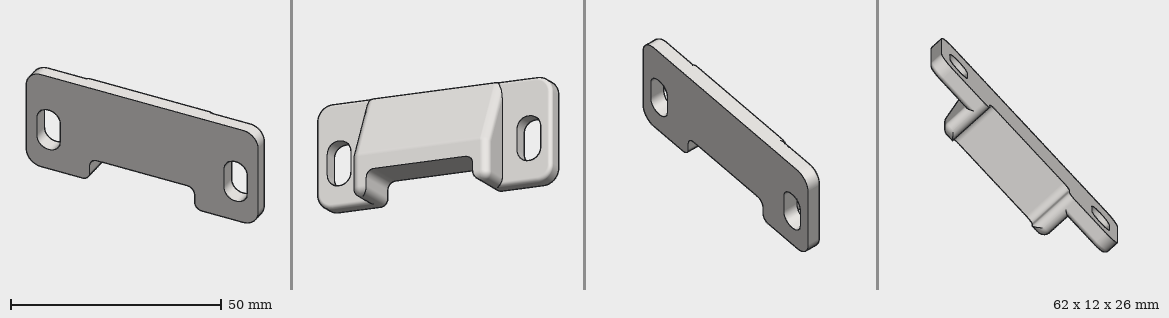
import cadquery as cq

plate_length = 62.0
plate_height = 26.0
plate_thickness = 4.0
plate_corner_radius = 4.0
plate_edge_radius = 1.0

block_length = 36.0
block_depth = 12.0
slope_height = 16.0
block_edge_radius = 2.0
top_edge_radius = plate_edge_radius

slot_spacing = 50.0
slot_width = 6.2
slot_height = 11.05
slot_drop = 2.0
slot_corner_radius = 3.0

notch_width = 28.0
notch_height = 6.0
notch_radius = 2.0


def make_plate():
    """Rounded plate with softened rear edges."""
    plate = cq.Workplane("XY").box(
        plate_length, plate_thickness, plate_height, centered=(True, False, False)
    )
    plate = plate.edges("|Y").fillet(plate_corner_radius)
    return plate.faces(">Y").edges().fillet(plate_edge_radius)


def make_block():
    """Block whose rear face slopes forward to the top edge of the plate."""
    slope_bottom = plate_height - slope_height
    block = (
        cq.Workplane("YZ")
        .moveTo(0, 0)
        .lineTo(block_depth, 0)
        .lineTo(block_depth, slope_bottom)
        .lineTo(plate_thickness, plate_height)
        .lineTo(0, plate_height)
        .close()
        .extrude(block_length / 2, both=True)
    )
    top_edge = cq.selectors.NearestToPointSelector((0, plate_thickness, plate_height))
    block = block.edges(top_edge).fillet(top_edge_radius)
    bend_edge = cq.selectors.NearestToPointSelector((0, block_depth, slope_bottom))
    block = block.edges(bend_edge).fillet(block_edge_radius)
    rear_bottom_edge = cq.selectors.NearestToPointSelector((0, block_depth, 0))
    block = block.edges(rear_bottom_edge).fillet(block_edge_radius)
    return block.faces("<X or >X").edges(">Y").fillet(block_edge_radius)


def make_slots():
    """Cutters for the two mounting slots, nearly fully rounded at the ends."""
    return (
        cq.Workplane("XZ")
        .center(0, plate_height / 2 - slot_drop)
        .rarray(slot_spacing, 0.6, 2, 1)
        .rect(slot_width, slot_height)
        .extrude(-plate_thickness)
        .edges("|Y")
        .fillet(slot_corner_radius)
    )


def cut_notch(body):
    """Cut the bottom notch through plate and block, rounding all four corners."""
    notch = cq.Workplane("XY").box(
        notch_width, block_depth, notch_height, centered=(True, False, False)
    )
    notch = notch.edges("|Y and >Z").fillet(notch_radius)
    body = body.cut(notch)
    for side in (-1, 1):
        wall = side * notch_width / 2
        center = wall + side * notch_radius
        shoulder = (
            cq.Workplane("XZ")
            .rect(2 * notch_radius, 2 * notch_radius)
            .extrude(-block_depth)
            .translate((wall, 0, 0))
        )
        rounding = (
            cq.Workplane("XZ")
            .center(center, notch_radius)
            .circle(notch_radius)
            .extrude(-block_depth)
        )
        body = body.cut(shoulder.cut(rounding))
    return body


result = cut_notch(make_plate().union(make_block()).cut(make_slots()))